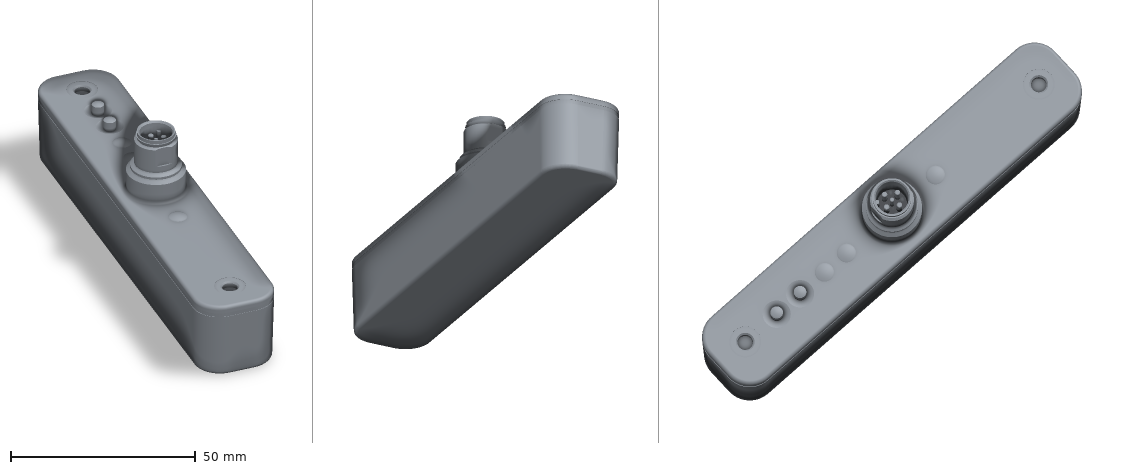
import cadquery as cq
import math

LENGTH = 126.0
WIDTH = 23.0
HEIGHT = 22.0
CORNER_RADIUS = 7.5
TOP_FILLET = 1.0
BOTTOM_FILLET = 1.0
SEAM_TOP = -2.0
SEAM_BOTTOM = -3.2
SEAM_DEPTH = 0.1
DRAFT_INSET = 0.4

MOUNT_X = 53.5
MOUNT_RECESS_RADIUS = 4.3
MOUNT_RECESS_DEPTH = 0.1
MOUNT_HOLE_RADIUS = 2.1
MOUNT_HOLE_DEPTH = 1.8
MOUNT_HOLE_CHAMFER = 0.45

BUTTON_XS = (-42.0, -33.5)
BUTTON_RADIUS = 1.7
BUTTON_RISE = 2.2
BUTTON_CHAMFER_WIDTH = 0.35
BUTTON_CHAMFER_HEIGHT = 0.15
BUTTON_DOME_RISE = 0.25
BUTTON_SEAT_DEPTH = 3.0
DISH_RADIUS = 3.8
DISH_DEPTH = 0.75

LENS_XS = (-24.6, -16.6, 15.8)
LENS_RADIUS = 3.2
LENS_SEAT_DEPTH = 2.0
LENS_DOME_RADIUS = 2.6
LENS_DOME_RISE = 0.5

BASE_RADIUS = 8.15
BASE_FLARE = 0.9
BASE_TOP = 6.0
COLLAR_RADIUS = 7.05
COLLAR_BOTTOM = 7.0
COLLAR_TOP = 7.7
NECK_RADIUS = 5.95
NECK_BOTTOM = 8.5
NECK_TOP = 15.7
TIP_RADIUS = 5.2
TIP_BOTTOM = 16.2
BARB_RADIUS = 5.5
BARB_Z = 17.2
PLUG_HEIGHT = 18.3
FLAT_DISTANCE = 5.45
FLAT_BOTTOM = 10.5
SOCKET_RADIUS = 4.5
SOCKET_CHAMFER = 0.4
SOCKET_FLOOR_RADIUS = 4.1
SOCKET_DEPTH = 8.0
CENTRE_PIN_RADIUS = 0.6
RING_PIN_RADIUS = 0.75
PIN_TIP_CHAMFER = 0.2
PIN_SETBACK = 2.6
PIN_CIRCLE_RADIUS = 2.5
PIN_COUNT = 4
FIRST_PIN_ANGLE = 12.0
KEY_RADIUS = 0.6
KEY_ANGLE = FIRST_PIN_ANGLE + 135.0


def rounded_plate(inset, bottom, top):
    """Upright rounded slab whose outline is drawn in by the inset."""
    return (
        cq.Workplane("XY", origin=(0, 0, bottom))
        .rect(LENGTH - 2 * inset, WIDTH - 2 * inset)
        .extrude(top - bottom)
        .edges("|Z")
        .fillet(CORNER_RADIUS)
    )


def rounded_sketch(inset):
    """Flat housing outline, drawn in by the inset, with unchanged corner radius."""
    return cq.Sketch().rect(LENGTH - 2 * inset, WIDTH - 2 * inset).vertices().fillet(CORNER_RADIUS)


def cylinder(x, y, radius, bottom, top):
    """Upright round bar between two heights."""
    return cq.Workplane("XY", origin=(x, y, bottom)).circle(radius).extrude(top - bottom)


def cone(x, bottom_radius, top_radius, bottom, top):
    """Upright cone frustum on the housing centre line."""
    return cq.Workplane("XY").add(
        cq.Solid.makeCone(bottom_radius, top_radius, top - bottom, cq.Vector(x, 0, bottom))
    )


def make_housing():
    lid = rounded_plate(0, SEAM_TOP, 0).faces(">Z").edges().fillet(TOP_FILLET)
    seam = rounded_plate(SEAM_DEPTH, SEAM_BOTTOM, SEAM_TOP)
    tub_height = HEIGHT + SEAM_BOTTOM
    tub = (
        cq.Workplane("XY", origin=(0, 0, -HEIGHT))
        .placeSketch(rounded_sketch(DRAFT_INSET), rounded_sketch(0).moved(cq.Location((0, 0, tub_height))))
        .loft()
        .faces("<Z")
        .edges()
        .fillet(BOTTOM_FILLET)
    )
    body = lid.union(seam).union(tub)

    recess_floor = -MOUNT_RECESS_DEPTH
    countersink_bottom = recess_floor - MOUNT_HOLE_CHAMFER
    countersink_radius = MOUNT_HOLE_RADIUS + MOUNT_HOLE_CHAMFER
    for x in (-MOUNT_X, MOUNT_X):
        body = body.cut(cylinder(x, 0, MOUNT_RECESS_RADIUS, recess_floor, 0))
        body = body.cut(cylinder(x, 0, MOUNT_HOLE_RADIUS, -MOUNT_HOLE_DEPTH, recess_floor))
        body = body.cut(cone(x, MOUNT_HOLE_RADIUS, countersink_radius, countersink_bottom, recess_floor))

    for x in BUTTON_XS:
        body = body.cut(cone(x, BUTTON_RADIUS, DISH_RADIUS, -DISH_DEPTH, 0))
        body = body.cut(cylinder(x, 0, BUTTON_RADIUS, -BUTTON_SEAT_DEPTH, 0))

    for x in LENS_XS:
        body = body.cut(cylinder(x, 0, LENS_RADIUS, -LENS_SEAT_DEPTH, 0))
    return body


def dome(x, radius, bottom, rise):
    """Shallow spherical cap on a flat round base."""
    sphere_radius = (radius**2 + rise**2) / (2 * rise)
    half_way = radius / 2
    half_rise = rise - sphere_radius + math.sqrt(sphere_radius**2 - half_way**2)
    return (
        cq.Workplane("XZ", origin=(x, 0, bottom))
        .lineTo(radius, 0)
        .threePointArc((half_way, half_rise), (0, rise))
        .close()
        .revolve(360, (0, 0, 0), (0, 1, 0))
    )


def make_button(x):
    """Round post with a chamfered end that carries a shallow dome."""
    shoulder = BUTTON_RISE - BUTTON_CHAMFER_HEIGHT
    end_radius = BUTTON_RADIUS - BUTTON_CHAMFER_WIDTH
    post = cylinder(x, 0, BUTTON_RADIUS, -BUTTON_SEAT_DEPTH, shoulder)
    end = cone(x, BUTTON_RADIUS, end_radius, shoulder, BUTTON_RISE)
    return post.union(end).union(dome(x, end_radius, BUTTON_RISE, BUTTON_DOME_RISE))


def make_lens(x):
    """Round plug flush with the housing top, with a smaller dome on it."""
    plug = cylinder(x, 0, LENS_RADIUS, -LENS_SEAT_DEPTH, 0)
    return plug.union(dome(x, LENS_DOME_RADIUS, 0, LENS_DOME_RISE))


def polar(radius, angle):
    """X and Y of a point at an angle in degrees around the connector axis."""
    return radius * math.cos(math.radians(angle)), radius * math.sin(math.radians(angle))


def make_connector():
    socket_floor = PLUG_HEIGHT - SOCKET_DEPTH
    flare_mid = BASE_FLARE * (1 - math.sqrt(0.5))
    plug = (
        cq.Workplane("XZ")
        .lineTo(BASE_RADIUS + BASE_FLARE, 0)
        .threePointArc((BASE_RADIUS + flare_mid, flare_mid), (BASE_RADIUS, BASE_FLARE))
        .lineTo(BASE_RADIUS, BASE_TOP)
        .lineTo(COLLAR_RADIUS, COLLAR_BOTTOM)
        .lineTo(COLLAR_RADIUS, COLLAR_TOP)
        .lineTo(NECK_RADIUS, NECK_BOTTOM)
        .lineTo(NECK_RADIUS, NECK_TOP)
        .lineTo(TIP_RADIUS, TIP_BOTTOM)
        .lineTo(BARB_RADIUS, BARB_Z)
        .lineTo(TIP_RADIUS, BARB_Z)
        .lineTo(TIP_RADIUS, PLUG_HEIGHT)
        .lineTo(SOCKET_RADIUS + SOCKET_CHAMFER, PLUG_HEIGHT)
        .lineTo(SOCKET_RADIUS, PLUG_HEIGHT - SOCKET_CHAMFER)
        .lineTo(SOCKET_FLOOR_RADIUS, socket_floor)
        .lineTo(0, socket_floor)
        .close()
        .revolve(360, (0, 0, 0), (0, 1, 0))
    )

    flat_thickness = NECK_RADIUS - FLAT_DISTANCE
    for side in (-1, 1):
        flat = cq.Workplane("XY", origin=(side * (FLAT_DISTANCE + flat_thickness / 2), 0, FLAT_BOTTOM)).box(
            flat_thickness, 2 * NECK_RADIUS, TIP_BOTTOM - FLAT_BOTTOM, centered=(True, True, False)
        )
        plug = plug.cut(flat)

    pins = [(0, 0, CENTRE_PIN_RADIUS)]
    for i in range(PIN_COUNT):
        pins.append((*polar(PIN_CIRCLE_RADIUS, FIRST_PIN_ANGLE + i * 360 / PIN_COUNT), RING_PIN_RADIUS))
    pin_top = PLUG_HEIGHT - PIN_SETBACK
    for x, y, radius in pins:
        plug = plug.union(cylinder(x, y, radius, socket_floor, pin_top).faces(">Z").chamfer(PIN_TIP_CHAMFER))

    key_x, key_y = polar(SOCKET_FLOOR_RADIUS, KEY_ANGLE)
    return plug.union(cylinder(key_x, key_y, KEY_RADIUS, socket_floor, pin_top))


housing = make_housing()
connector = make_connector()
buttons = [make_button(x) for x in BUTTON_XS]
lenses = [make_lens(x) for x in LENS_XS]

result = cq.Compound.makeCompound(
    [housing.val(), connector.val()] + [button.val() for button in buttons] + [lens.val() for lens in lenses]
)